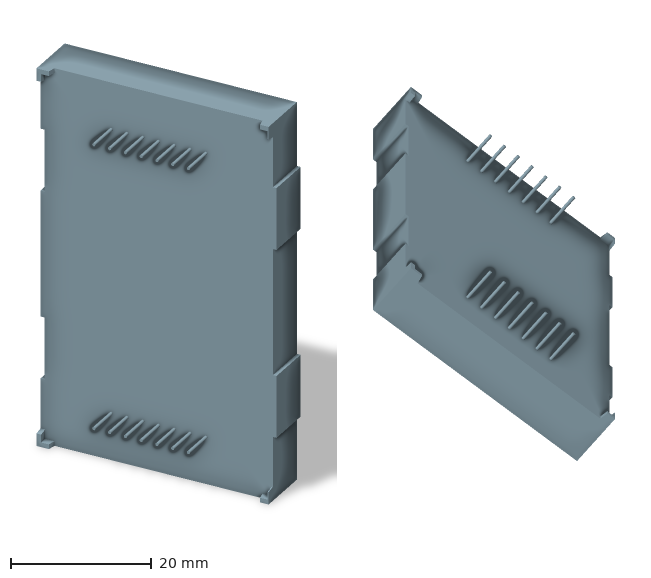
import cadquery as cq

width = 38.0
height = 60.8
total_depth = 12.5
body_depth = 7.25
foot_height = 1.25
front_y = total_depth / 2
back_y = front_y - body_depth

step_depth = 0.6
step_inner_z = 10.15
step_outer_z = 20.1
step_length = step_outer_z - step_inner_z
step_centre_z = (step_inner_z + step_outer_z) / 2

foot_length_base = 2.25
foot_length_tip = 2.0
foot_wall = 0.75

pin_pitch = 2.54
pin_count = 7
pin_diameter = 0.5
pitches_between_rows = 18
pin_row_spacing = pitches_between_rows * pin_pitch
pin_length = total_depth - body_depth


def make_body():
    """Full-width block, before the +X side is cut back."""
    return cq.Workplane("XY").box(width, body_depth, height).translate((0, front_y - body_depth / 2, 0))


def foot_leg_along_x():
    """Tapered leg at the -X, +Z corner, running along the top edge."""
    corner_x = -width / 2
    return (
        cq.Workplane("XY", origin=(0, 0, height / 2 - foot_wall))
        .moveTo(corner_x, back_y)
        .lineTo(corner_x + foot_length_base, back_y)
        .lineTo(corner_x + foot_length_tip, back_y - foot_height)
        .lineTo(corner_x, back_y - foot_height)
        .close()
        .extrude(foot_wall)
    )


def foot_leg_along_z():
    """Tapered leg at the -X, +Z corner, running down the side edge."""
    corner_z = height / 2
    return (
        cq.Workplane("YZ", origin=(-width / 2, 0, 0))
        .moveTo(back_y, corner_z)
        .lineTo(back_y, corner_z - foot_length_base)
        .lineTo(back_y - foot_height, corner_z - foot_length_tip)
        .lineTo(back_y - foot_height, corner_z)
        .close()
        .extrude(foot_wall)
    )


def add_feet(part):
    """One foot at each corner of the back face, mirrored from the -X, +Z one."""
    upper_left = foot_leg_along_x().union(foot_leg_along_z())
    upper_pair = upper_left.union(upper_left.mirror("YZ"))
    return part.union(upper_pair).union(upper_pair.mirror("XY"))


def side_strips(side_x, centres_and_lengths):
    """Full-depth strips, one step thick, just inside the plane x = side_x."""
    inward = -1 if side_x > 0 else 1
    strips = cq.Workplane("XY")
    for centre_z, length in centres_and_lengths:
        strip = cq.Workplane("XY").box(step_depth, total_depth, length)
        strips = strips.add(strip.translate((side_x + inward * step_depth / 2, 0, centre_z)))
    return strips.combine()


def cut_side_steps(part):
    """Notch the -X side and cut the +X side back everywhere but at the tabs."""
    end_length = height / 2 - step_outer_z
    end_centre_z = (height / 2 + step_outer_z) / 2
    notches = [(step_centre_z, step_length), (-step_centre_z, step_length)]
    gaps_between_tabs = [(end_centre_z, end_length), (0, 2 * step_inner_z), (-end_centre_z, end_length)]
    part = part.cut(side_strips(-width / 2, notches))
    return part.cut(side_strips(width / 2, gaps_between_tabs))


def add_pins(part):
    """Two rows of straight pins standing out of the back face."""
    pins = (
        cq.Workplane("XZ", origin=(0, back_y, 0))
        .rarray(pin_pitch, pin_row_spacing, pin_count, 2)
        .circle(pin_diameter / 2)
        .extrude(pin_length)
    )
    return part.union(pins)


result = add_pins(cut_side_steps(add_feet(make_body())))